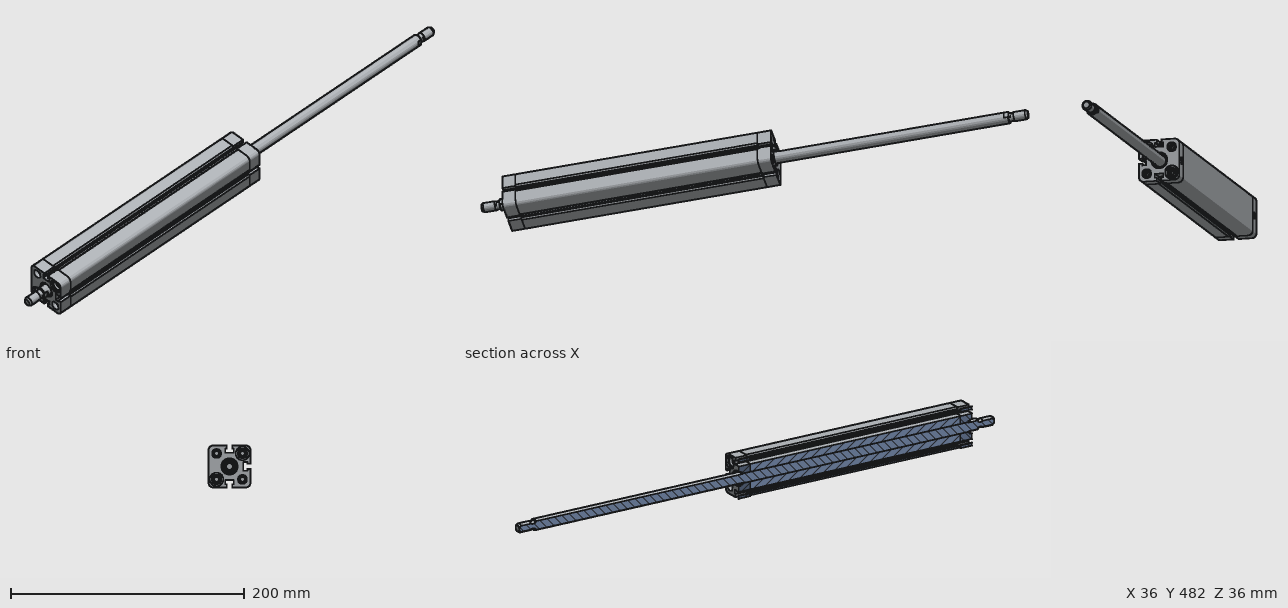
import cadquery as cq

overall_length = 482.0

width = 36.0
half_width = width / 2
corner_radius = 4.5
cap_length = 11.5
housing_length = 236.5
half_housing = housing_length / 2
barrel_length = housing_length - 2 * cap_length

slot_mouth = 4.5
slot_width = 7.0
slot_depth = 6.5
lip_thickness = 3.0
barrel_mouth = slot_width
barrel_mouth_chamfer = (barrel_mouth - slot_mouth) / 2
slot_sides = (-90, 0, 90)
overrun = 5.0

screw_offset = 11.0
thread_diameter = 4.15
head_bore_diameter = 7.5
head_bore_depth = 5.0
head_seat_diameter = 6.0
head_seat_depth = 6.0
locating_bore_diameter = 11.5
locating_bore_depth = 2.0
located_head_bore_diameter = 8.0

recess_diameter = 14.0
recess_floor_diameter = 12.0
recess_depth = 2.0
recess_floor_depth = 4.0
port_offset = 7.5
port_depth = 5.0
port_mouth_diameter = 6.0
port_mouth_depth = 1.0

rod_diameter = 10.0
stud_diameter = 8.0
stud_tip_diameter = 6.0
tip_chamfer_length = 2.0
stud_length = 16.5
neck_diameter = 7.0
neck_length = 3.0
neck_taper = 1.5
shoulder_chamfer = 0.5
flat_across = 8.0
flat_length = 4.0
front_reach = 22.5
front_tip = -half_housing - front_reach
rear_tip = front_tip + overall_length


def cylinder(diameter, start, length, x=0.0, z=0.0):
    """Cylinder along +Y from the plane y = start."""
    return cq.Workplane("XZ", origin=(x, start, z)).circle(diameter / 2).extrude(-length)


def box_between(x_near, x_far, z_width, start, length):
    """Box from x_near to x_far, centred in Z, running along +Y from the plane y = start."""
    return (
        cq.Workplane("XY")
        .box(x_far - x_near, length, z_width, centered=(False, False, True))
        .translate((x_near, start, 0))
    )


def slotted_block(start, length):
    """Square profile with rounded corners and a T-slot in three sides."""
    block = (
        cq.Workplane("XZ", origin=(0, start, 0))
        .rect(width, width)
        .extrude(-length)
        .edges("|Y")
        .fillet(corner_radius)
    )
    slot_floor = half_width - slot_depth
    mouth = box_between(slot_floor, half_width + overrun, slot_mouth, start, length)
    undercut = box_between(slot_floor, half_width - lip_thickness, slot_width, start, length)
    slot = mouth.union(undercut)
    for side in slot_sides:
        block = block.cut(slot.rotate((0, 0, 0), (0, 1, 0), side))
    return block


def make_barrel():
    """Barrel with flared slot mouths and a bore that fits the rod."""
    start = -barrel_length / 2
    barrel = slotted_block(start, barrel_length)
    flare = (
        cq.Workplane("XZ", origin=(0, start, 0))
        .polyline([
            (half_width, barrel_mouth / 2),
            (half_width - barrel_mouth_chamfer, slot_mouth / 2),
            (half_width - barrel_mouth_chamfer, -slot_mouth / 2),
            (half_width, -barrel_mouth / 2),
        ])
        .close()
        .extrude(-barrel_length)
    )
    for side in slot_sides:
        barrel = barrel.cut(flare.rotate((0, 0, 0), (0, 1, 0), side))
    return barrel.cut(cylinder(rod_diameter, start, barrel_length))


def make_front_cap():
    """Cap with stepped screw holes, a stepped recess around the rod and a port on the -X side.

    Two diagonally opposite screw holes also have a wider locating bore.
    """
    face = -half_housing
    cap = slotted_block(face, cap_length)
    for x_side in (-1, 1):
        for z_side in (-1, 1):
            x = x_side * screw_offset
            z = z_side * screw_offset
            has_locating_bore = x_side == z_side
            head_bore = located_head_bore_diameter if has_locating_bore else head_bore_diameter
            if has_locating_bore:
                cap = cap.cut(cylinder(locating_bore_diameter, face, locating_bore_depth, x, z))
            cap = cap.cut(cylinder(head_bore, face, head_bore_depth, x, z))
            cap = cap.cut(cylinder(head_seat_diameter, face, head_seat_depth, x, z))
            cap = cap.cut(cylinder(thread_diameter, face, cap_length, x, z))
    cap = cap.cut(cylinder(recess_diameter, face, recess_depth))
    cap = cap.cut(cylinder(recess_floor_diameter, face, recess_floor_depth))
    cap = cap.cut(cylinder(rod_diameter, face, cap_length))
    port_plane = cq.Workplane("YZ", origin=(-half_width, face + port_offset, 0))
    cap = cap.cut(port_plane.circle(port_mouth_diameter / 2).extrude(port_mouth_depth))
    return cap.cut(port_plane.circle(thread_diameter / 2).extrude(port_depth))


def make_rod():
    """Turned rod with a threaded stud, neck and two wrench flats at each end."""
    neck_start = stud_length - neck_length
    end_profile = [
        (0, 0),
        (stud_tip_diameter / 2, 0),
        (stud_diameter / 2, tip_chamfer_length),
        (stud_diameter / 2, neck_start - neck_taper),
        (neck_diameter / 2, neck_start),
        (neck_diameter / 2, stud_length - neck_taper),
        (stud_diameter / 2, stud_length),
        (rod_diameter / 2 - shoulder_chamfer, stud_length),
        (rod_diameter / 2, stud_length + shoulder_chamfer),
    ]
    front = [(radius, front_tip + setback) for radius, setback in end_profile]
    rear = [(radius, rear_tip - setback) for radius, setback in reversed(end_profile)]
    rod = cq.Workplane("XY").polyline(front + rear).close().revolve(360, (0, 0, 0), (0, 1, 0))
    for start in (front_tip + stud_length, rear_tip - stud_length - flat_length):
        flat = box_between(flat_across / 2, rod_diameter, 2 * rod_diameter, start, flat_length)
        rod = rod.cut(flat).cut(flat.mirror("YZ"))
    return rod


barrel = make_barrel()
front_cap = make_front_cap()
rear_cap = front_cap.mirror("XZ")
rod = make_rod()

result = cq.Compound.makeCompound([barrel.val(), front_cap.val(), rear_cap.val(), rod.val()])